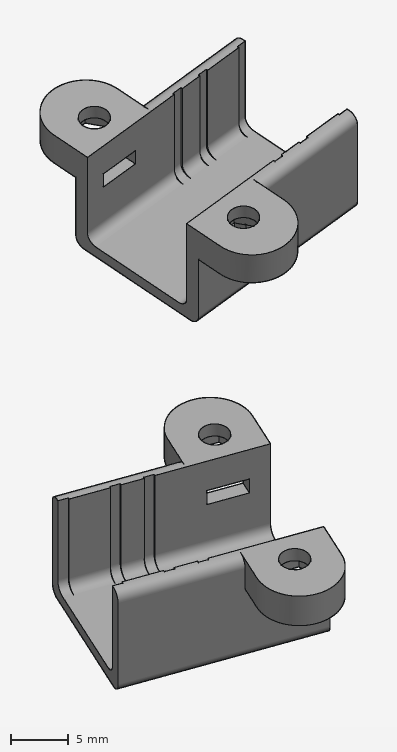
import cadquery as cq
import math

LENGTH = 20.0
HEIGHT = 11.4
OUTER_HALF_WIDTH = 7.4
WALL = 1.43
FLOOR = 1.2
EDGE_RADIUS = 1.0
INNER_HALF_WIDTH = OUTER_HALF_WIDTH - WALL

OVERALL_WIDTH = 28.0
EAR_DEPTH = 8.0
EAR_THICKNESS = 3.4
EAR_RADIUS = EAR_DEPTH / 2
EAR_BOTTOM = HEIGHT - EAR_THICKNESS
HOLE_X = 9.0
HOLE_DIAMETER = 2.8

NUT_ACROSS_FLATS = 5.0
NUT_ACROSS_CORNERS = NUT_ACROSS_FLATS / math.cos(math.pi / 6)
HOLE_LENGTH = 1.4
NUT_DEPTH = EAR_THICKNESS - HOLE_LENGTH

WINDOW_LENGTH = 4.0
WINDOW_HEIGHT = 1.6
WINDOW_START = EAR_RADIUS - WINDOW_LENGTH / 2

GROOVE_WIDTH = 0.98
GROOVE_DEPTH = 0.17
GROOVE_SETBACKS = (0.0, 4.9, 8.1)


def bar(half_width, y_start, length, z_bottom, z_top):
    """Block centred on X, running along +Y."""
    return (
        cq.Workplane("XY", origin=(0, y_start + length / 2, z_bottom))
        .rect(2 * half_width, length)
        .extrude(z_top - z_bottom)
    )


def cavity(half_width, y_start, length):
    """Open-topped channel space with rounded lower corners."""
    space = bar(half_width, y_start, length, FLOOR, HEIGHT)
    return space.edges("|Y and <Z").fillet(EDGE_RADIUS)


def ear_plate():
    """Plate with round ends that forms both ears."""
    return (
        cq.Workplane("XY", origin=(0, EAR_RADIUS, EAR_BOTTOM))
        .slot2D(OVERALL_WIDTH, EAR_DEPTH)
        .extrude(EAR_THICKNESS)
    )


def screw_and_nut_space(x):
    """Round screw hole with a hexagonal nut recess below it."""
    base = cq.Workplane("XY", origin=(x, EAR_RADIUS, EAR_BOTTOM))
    screw = base.circle(HOLE_DIAMETER / 2).extrude(EAR_THICKNESS)
    nut = base.transformed(rotate=(0, 0, 90)).polygon(6, NUT_ACROSS_CORNERS).extrude(NUT_DEPTH)
    return screw.union(nut)


body = bar(OUTER_HALF_WIDTH, 0, LENGTH, 0, HEIGHT).edges("|Y").fillet(EDGE_RADIUS)
result = body.union(ear_plate()).cut(cavity(INNER_HALF_WIDTH, 0, LENGTH))

for setback in GROOVE_SETBACKS:
    groove_start = LENGTH - setback - GROOVE_WIDTH
    result = result.cut(cavity(INNER_HALF_WIDTH + GROOVE_DEPTH, groove_start, GROOVE_WIDTH))

for hole_x in (-HOLE_X, HOLE_X):
    result = result.cut(screw_and_nut_space(hole_x))

window = bar(OUTER_HALF_WIDTH, WINDOW_START, WINDOW_LENGTH, EAR_BOTTOM - WINDOW_HEIGHT, EAR_BOTTOM)
result = result.cut(window)